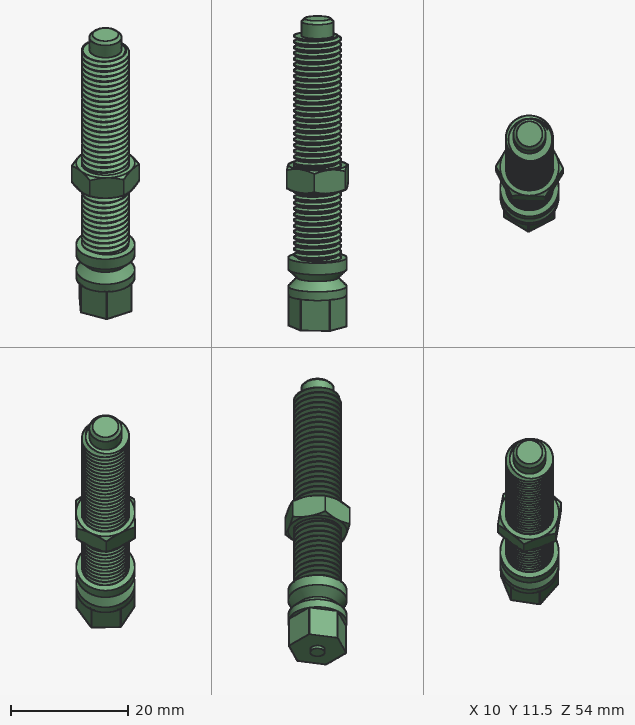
import cadquery as cq
import math

total_height = 54.0
head_bottom = 0.6
collar_bottom = 6.0
lower_collar_top = 7.5
groove_waist_height = 9.0
flange_bottom = 10.5
flange_top = 12.5
thread_top = 51.05

stem_diameter = 2.5
collar_diameter = 10.0
groove_diameter = 7.0
tip_diameter = 5.5
tip_chamfer = 0.55

head_across_flats = 8.7
head_corner_diameter = 9.95

turns_per_half_height = 27
thread_pitch = total_height / 2 / turns_per_half_height
thread_core_diameter = 6.75
thread_crest_diameter = 8.1
thread_root_width = 0.85
thread_crest_width = 0.1
thread_start = 11.3
ridge_embed = 0.05

nut_bottom = 24.5
nut_height = 4.05
nut_across_flats = 10.0
nut_bore_diameter = 8.15
nut_chamfer_angle = 30.0

hexagon_sides = 6
half_side_angle = 180 / hexagon_sides


def corner_diameter(across_flats):
    """Distance between opposite corners of a regular hexagon."""
    return across_flats / math.cos(math.radians(half_side_angle))


def make_turned_body():
    """Stem, grooved collar, thread core and chamfered tip as one turned solid."""
    stem_radius = stem_diameter / 2
    collar_radius = collar_diameter / 2
    core_radius = thread_core_diameter / 2
    tip_radius = tip_diameter / 2
    return (
        cq.Workplane("XZ")
        .moveTo(0, 0)
        .lineTo(stem_radius, 0)
        .lineTo(stem_radius, collar_bottom)
        .lineTo(collar_radius, collar_bottom)
        .lineTo(collar_radius, lower_collar_top)
        .lineTo(groove_diameter / 2, groove_waist_height)
        .lineTo(collar_radius, flange_bottom)
        .lineTo(collar_radius, flange_top)
        .lineTo(core_radius, flange_top)
        .lineTo(core_radius, thread_top)
        .lineTo(tip_radius, thread_top)
        .lineTo(tip_radius, total_height - tip_chamfer)
        .lineTo(tip_radius - tip_chamfer, total_height)
        .lineTo(0, total_height)
        .close()
        .revolve(360, (0, 0, 0), (0, 1, 0))
    )


def make_head():
    """Hexagonal head with corners on the X axis, trimmed by a cylinder."""
    head_height = collar_bottom - head_bottom
    base = cq.Workplane("XY").workplane(offset=head_bottom)
    hexagon = base.polygon(hexagon_sides, corner_diameter(head_across_flats)).extrude(head_height)
    return hexagon.intersect(base.circle(head_corner_diameter / 2).extrude(head_height))


def make_thread_ridge():
    """Helical ridge built turn by turn, cut off flat at the top of the thread."""
    inner_radius = thread_core_diameter / 2 - ridge_embed
    crest_radius = thread_crest_diameter / 2
    flank_slope = (thread_root_width - thread_crest_width) / (thread_crest_diameter - thread_core_diameter)
    inner_half_width = thread_root_width / 2 + flank_slope * ridge_embed
    crest_half_width = thread_crest_width / 2
    profile = [
        (inner_radius, -inner_half_width),
        (crest_radius, -crest_half_width),
        (crest_radius, crest_half_width),
        (inner_radius, inner_half_width),
    ]

    def profile_face(height):
        corners = [cq.Vector(radius, 0, height + offset) for radius, offset in profile]
        return cq.Face.makeFromWires(cq.Wire.makePolygon(corners, close=True))

    turns = math.ceil((thread_top + inner_half_width - thread_start) / thread_pitch)
    faces = [profile_face(thread_start), profile_face(thread_start + turns * thread_pitch)]
    for turn in range(turns):
        height = thread_start + turn * thread_pitch
        helices = [
            cq.Wire.makeHelix(thread_pitch, thread_pitch, radius, cq.Vector(0, 0, height + offset))
            for radius, offset in profile
        ]
        for helix, next_helix in zip(helices, helices[1:] + helices[:1]):
            faces.extend(cq.Face.makeRuledSurface(helix, next_helix).Faces())
    ridge = cq.Solid.makeSolid(cq.Shell.makeShell(faces))

    space_above = (
        cq.Workplane("XY").workplane(offset=thread_top).circle(thread_crest_diameter).extrude(2 * thread_pitch)
    )
    return cq.Workplane(obj=ridge).cut(space_above)


def make_stud():
    """Turned body, head and thread ridge joined into one solid."""
    return make_turned_body().union(make_head()).union(make_thread_ridge()).solids()


def make_nut():
    """Nut with corners on the Y axis and both ends chamfered to the width across flats."""
    corner_radius = corner_diameter(nut_across_flats) / 2
    flat_radius = nut_across_flats / 2
    chamfer_drop = (corner_radius - flat_radius) * math.tan(math.radians(nut_chamfer_angle))
    nut_top = nut_bottom + nut_height
    hexagon = (
        cq.Workplane("XY")
        .workplane(offset=nut_bottom)
        .transformed(rotate=(0, 0, half_side_angle))
        .polygon(hexagon_sides, 2 * corner_radius)
        .extrude(nut_height)
    )
    bored_envelope = (
        cq.Workplane("XZ")
        .moveTo(nut_bore_diameter / 2, nut_bottom)
        .lineTo(flat_radius, nut_bottom)
        .lineTo(corner_radius, nut_bottom + chamfer_drop)
        .lineTo(corner_radius, nut_top - chamfer_drop)
        .lineTo(flat_radius, nut_top)
        .lineTo(nut_bore_diameter / 2, nut_top)
        .close()
        .revolve(360, (0, 0, 0), (0, 1, 0))
    )
    return hexagon.intersect(bored_envelope).solids()


stud = make_stud()
nut = make_nut()

result = cq.Compound.makeCompound([stud.val(), nut.val()])